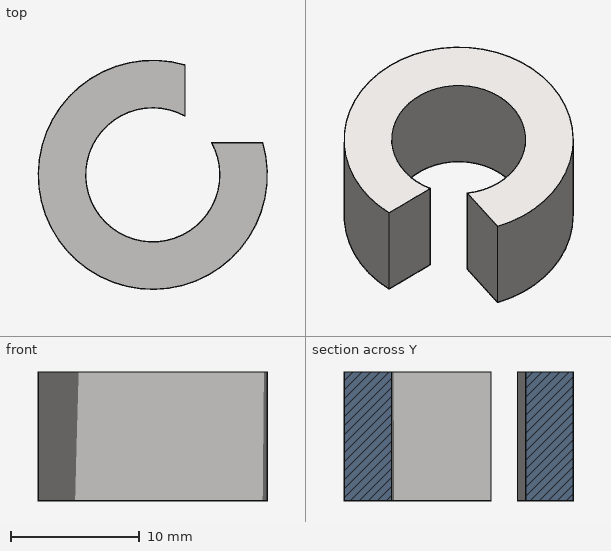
import cadquery as cq

outer_diameter = 17.78
bore_diameter = 10.38
height = 10.0
notch_offset = 2.5

ring = (
    cq.Workplane("XY")
    .circle(outer_diameter / 2)
    .circle(bore_diameter / 2)
    .extrude(height)
)

notch = (
    cq.Workplane("XY")
    .moveTo(notch_offset, notch_offset)
    .rect(outer_diameter, outer_diameter, centered=False)
    .extrude(height)
)

result = ring.cut(notch)